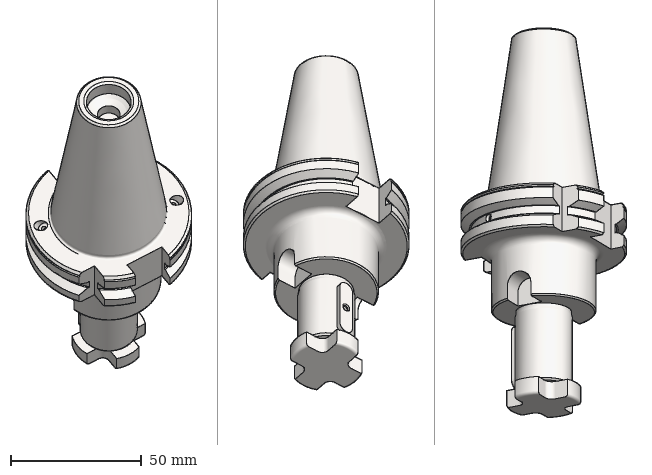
import cadquery as cq
import math

total_length = 149.4

head_radius = 14.3
head_height = 7.0
head_arm_width = 10.3
head_inner_fillet = 2.8
head_edge_fillet = 1.2

shank_radius = 22.0 / 2
shank_end_chamfer = 0.7
relief_depth = 0.3
relief_bottom = 35.9
relief_cone = 1.0

body_radius = 20.0
body_bottom = 38.1
body_chamfer = 0.6
body_fillet = 3.1
slot_width = 10.3
slot_top = 48.5
slot_floor = 11.0

flange_radius = 63.5 / 2
flange_bottom = 61.9
flange_top = 79.8
flange_top_chamfer = 1.0
flange_bottom_chamfer = 0.7
ring_groove_width = 1.0
ring_groove_depth = 0.5
grip_groove_radius = 28.0
grip_groove_center = 69.9
grip_groove_floor = 3.3
grip_groove_ledge = 0.6
grip_groove_slope = 30.0

notch_width = 15.8
notch_floor_left = 22.9
notch_floor_right = 25.0
corner_notch_x = 18.5
corner_notch_y = 18.7

taper_bottom = 81.7
collar_radius = 22.1
taper_ratio = 7 / 24
taper_chamfer = 0.7
collar_fillet = 1.0

bore_radius = 8.5
bore_depth = 6.3
bore_chamfer = 1.0
bore_chamfer_depth = 0.6
thread_radius = 6.9
thread_lead_in = 1.0
core_radius = 4.3
core_cone_depth = 1.2
core_depth = 4.5

key_width = 6.0
key_length = 24.8
key_bottom = 9.3
key_reach = 12.5
key_hole_radius = 1.2
key_hole_depth = 1.0
key_hole_chamfer = 0.5

coolant_angles = (70.0, 250.0)
coolant_pitch_radius = 26.7
coolant_radius = 4.6 / 2
coolant_tilt = 28.0
coolant_depth = 2.4
groove_hole_radius = 1.5
groove_hole_depth = 1.5
plug_socket_radius = 0.9
plug_socket_depth = 1.5


def turned_body():
    """Shank, body, flange and taper as one revolved outline."""
    relief_radius = shank_radius - relief_depth
    ledge_radius = grip_groove_radius + grip_groove_ledge
    groove_flank = (flange_radius - ledge_radius) * math.tan(math.radians(grip_groove_slope))
    floor_low = grip_groove_center - grip_groove_floor / 2
    floor_high = grip_groove_center + grip_groove_floor / 2
    flange_chamfer_z = flange_top - flange_top_chamfer
    taper_end_radius = collar_radius - (total_length - taper_bottom) * taper_ratio / 2
    taper_chamfer_radius = taper_end_radius + taper_chamfer * taper_ratio / 2
    diagonal = 1 - math.sqrt(0.5)

    outline = (
        cq.Workplane("XZ")
        .moveTo(0, head_height)
        .lineTo(shank_radius - shank_end_chamfer, head_height)
        .lineTo(shank_radius, head_height + shank_end_chamfer)
        .lineTo(shank_radius, relief_bottom)
        .lineTo(relief_radius, relief_bottom + relief_cone)
        .lineTo(relief_radius, body_bottom)
        .lineTo(body_radius - body_chamfer, body_bottom)
        .lineTo(body_radius, body_bottom + body_chamfer)
        .lineTo(body_radius, flange_bottom - body_fillet)
        .threePointArc(
            (body_radius + body_fillet * diagonal, flange_bottom - body_fillet * diagonal),
            (body_radius + body_fillet, flange_bottom),
        )
        .lineTo(flange_radius - flange_bottom_chamfer, flange_bottom)
        .lineTo(flange_radius, flange_bottom + flange_bottom_chamfer)
        .lineTo(flange_radius, floor_low - groove_flank)
        .lineTo(ledge_radius, floor_low)
        .lineTo(grip_groove_radius, floor_low)
        .lineTo(grip_groove_radius, floor_high)
        .lineTo(ledge_radius, floor_high)
        .lineTo(flange_radius, floor_high + groove_flank)
        .lineTo(flange_radius, flange_chamfer_z - ring_groove_width)
        .lineTo(flange_radius - ring_groove_depth, flange_chamfer_z - ring_groove_width / 2)
        .lineTo(flange_radius, flange_chamfer_z)
        .lineTo(flange_radius - flange_top_chamfer, flange_top)
        .lineTo(collar_radius + collar_fillet, flange_top)
        .threePointArc(
            (collar_radius + collar_fillet * diagonal, flange_top + collar_fillet * diagonal),
            (collar_radius, flange_top + collar_fillet),
        )
        .lineTo(collar_radius, taper_bottom)
        .lineTo(taper_chamfer_radius, total_length - taper_chamfer)
        .lineTo(taper_end_radius - taper_chamfer, total_length)
        .lineTo(0, total_length)
        .close()
    )
    return outline.revolve(360, (0, 0, 0), (0, 1, 0))


def pull_stud_bore():
    """Stepped, cone-bottomed bore from the small end of the taper."""
    thread_z = total_length - bore_depth - thread_lead_in
    core_z = thread_z - core_cone_depth
    outline = (
        cq.Workplane("XZ")
        .moveTo(0, total_length)
        .lineTo(bore_radius + bore_chamfer, total_length)
        .lineTo(bore_radius, total_length - bore_chamfer_depth)
        .lineTo(bore_radius, total_length - bore_depth)
        .lineTo(thread_radius, thread_z)
        .lineTo(core_radius, core_z)
        .lineTo(core_radius, core_z - core_depth)
        .lineTo(0, core_z - core_depth)
        .close()
    )
    return outline.revolve(360, (0, 0, 0), (0, 1, 0))


def screw_head():
    """Four-armed cross inside a disc with a rounded lower rim."""
    disc = (
        cq.Workplane("XY")
        .circle(head_radius)
        .extrude(head_height)
        .faces("<Z")
        .edges()
        .fillet(head_edge_fillet)
    )
    cross = (
        cq.Workplane("XY")
        .rect(2 * head_radius, head_arm_width)
        .extrude(head_height)
        .union(cq.Workplane("XY").rect(head_arm_width, 2 * head_radius).extrude(head_height))
    )
    inner_corner = cq.selectors.BoxSelector(
        (-head_arm_width, -head_arm_width, 0),
        (head_arm_width, head_arm_width, head_height),
    )
    cross = cross.edges("|Z").edges(inner_corner).fillet(head_inner_fillet)
    return disc.intersect(cross)


def drive_slot(side):
    """Round-topped slot across the lower body; side is +1 or -1 along Y."""
    arc_center_z = slot_top - slot_width / 2
    length = body_radius
    straight = (
        cq.Workplane("XY")
        .box(slot_width, length, arc_center_z - body_bottom, centered=(True, False, False))
        .translate((0, 0, body_bottom))
    )
    rounded = (
        cq.Workplane("XZ")
        .center(0, arc_center_z)
        .circle(slot_width / 2)
        .extrude(-length)
    )
    slot = straight.union(rounded).translate((0, slot_floor, 0))
    return slot if side > 0 else slot.mirror("XZ")


def flange_notches():
    """Two drive notches on the X axis and the orientation notch in the +X -Y corner."""
    flange_height = flange_top - flange_bottom
    width = flange_radius

    def block(size_y, x, y, centered_y):
        return (
            cq.Workplane("XY")
            .box(width, size_y, flange_height + collar_fillet, centered=(False, centered_y, False))
            .translate((x, y, flange_bottom))
        )

    right = block(notch_width, notch_floor_right, 0, True)
    left = block(notch_width, -notch_floor_left - width, 0, True)
    corner = block(width, corner_notch_x, -corner_notch_y - width, False)
    return right.union(left).union(corner)


def feather_key():
    """Round-ended key on the -X side of the shank with a chamfered screw hole."""
    center_z = key_bottom + key_length / 2
    outer_face = cq.Workplane("YZ", origin=(-key_reach, 0, center_z))
    key = outer_face.slot2D(key_length, key_width, 90).extrude(key_reach)
    hole = outer_face.circle(key_hole_radius).extrude(key_hole_depth)
    countersink = (
        outer_face.circle(key_hole_radius + key_hole_chamfer)
        .workplane(offset=key_hole_chamfer)
        .circle(key_hole_radius)
        .loft()
    )
    return key.cut(hole).cut(countersink)


def plugged_hole(mouth, tilt, radius, depth):
    """Hole in the XZ plane closed by a plug with a socket, ready to cut.

    mouth is the (x, z) centre of the opening and tilt leans the hole outward from +Z, in degrees.
    """
    lean = math.radians(tilt)
    inward = cq.Vector(-math.sin(lean), 0, -math.cos(lean))
    center = cq.Vector(mouth[0], 0, mouth[1])
    start = center - inward * radius
    hole = cq.Solid.makeCylinder(radius, radius + depth, start, inward)
    socket_length = radius + depth + plug_socket_depth
    socket = cq.Solid.makeCylinder(plug_socket_radius, socket_length, start, inward)
    return cq.Workplane(hole).union(cq.Workplane(socket))


def coolant_holes(angle):
    """Plugged holes at one angle: sloping in from the flange top, and radial in the grip groove."""
    sloped = plugged_hole((coolant_pitch_radius, flange_top), coolant_tilt, coolant_radius, coolant_depth)
    groove_mouth = (grip_groove_radius, grip_groove_center)
    radial = plugged_hole(groove_mouth, 90, groove_hole_radius, groove_hole_depth)
    return sloped.union(radial).rotate((0, 0, 0), (0, 0, 1), angle)


result = turned_body().cut(pull_stud_bore()).cut(flange_notches())
for side in (1, -1):
    result = result.cut(drive_slot(side))
for angle in coolant_angles:
    result = result.cut(coolant_holes(angle))
result = result.union(feather_key()).union(screw_head())